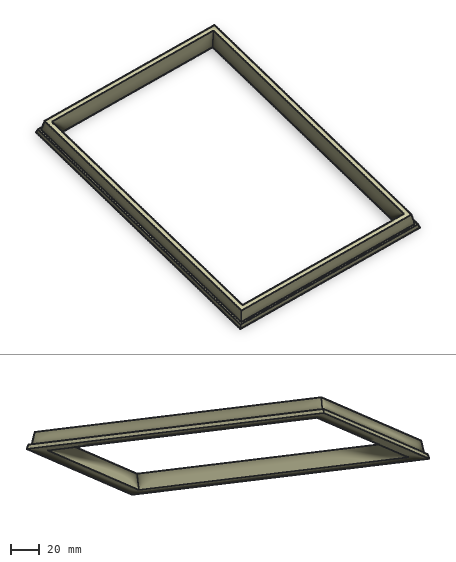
import cadquery as cq

length = 233.0
width = 156.9
height = 12.5

flange_height = 3.3
flange_top_inset = 1.0
wall_foot_inset = 2.5
wall_top_inset = 4.2
opening_top_inset = 8.0
opening_bottom_inset = 11.0
lip_height = 1.0


def tapered_block(bottom_inset, top_inset, bottom_z, top_z):
    """Rectangular block whose four sides lean evenly between two insets."""
    return (
        cq.Workplane("XY")
        .workplane(offset=bottom_z)
        .rect(length - 2 * bottom_inset, width - 2 * bottom_inset)
        .workplane(offset=top_z - bottom_z)
        .rect(length - 2 * top_inset, width - 2 * top_inset)
        .loft(ruled=True, combine=True)
    )


flange = tapered_block(0, flange_top_inset, 0, flange_height)
wall = tapered_block(wall_foot_inset, wall_top_inset, flange_height, height)

lip_opening = tapered_block(opening_bottom_inset, opening_bottom_inset, 0, lip_height)
flared_opening = tapered_block(opening_bottom_inset, opening_top_inset, lip_height, height)

result = flange.union(wall).cut(lip_opening).cut(flared_opening)